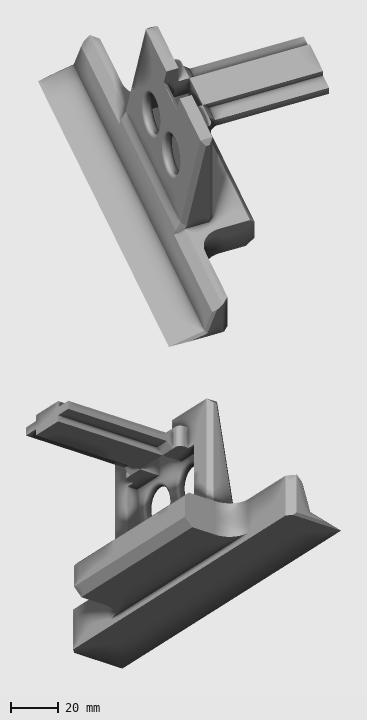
import cadquery as cq


bar_length = 160.0
bar_height = 18.9
bar_rear_y = -9.6
bar_end_chamfer = 1.1
bar_rear_chamfer = 3.4
bar_top_chamfer_y = -13.1
toe_tip_y = -36.8
toe_root_y = -20.8
toe_root_z = 4.0

plate_width = 70.0
plate_height = 70.5
plate_top_thickness = 5.5
plate_foot_z = 4.8
plate_chamfer = 2.0
shoulder_top_y = -14.4
shoulder_top_z = 21.3
shoulder_bottom_y = -16.6
shoulder_bottom_z = 16.8

block_width = 80.0
block_rear_y = 16.3
block_bottom_z = 3.0
block_top_chamfer = 2.0
block_bottom_chamfer = 3.8
block_fillet = 10.0

arm_end_y = 59.0
arm_width = 30.5
arm_height = 9.6
arm_bottom_z = 52.5
arm_top_z = arm_bottom_z + arm_height
core_width = 16.0
flange_thickness = 3.8
boss_width = 40.0
boss_depth = 5.0
boss_corner_radius = 2.5

notch_width = core_width
notch_floor_z = 63.7
channel_depth = 5.0

recess_width = 48.0
recess_bottom_z = 29.3
recess_top_z = arm_bottom_z
recess_bottom_depth = 8.0
recess_top_depth = channel_depth
hole_spacing = 24.0
hole_z = 40.6
hole_diameter = 17.1
hole_round = 1.5

clearance = 32.0


def box(width, y_range, z_range):
    """Box centred on X between two Y values and two Z values."""
    y_min, y_max = y_range
    z_min, z_max = z_range
    outline = [(y_min, z_min), (y_max, z_min), (y_max, z_max), (y_min, z_max)]
    return extrude_x(outline, width)


def extrude_x(points, width):
    """Extrude a (Y, Z) outline symmetrically along X."""
    return cq.Workplane("YZ").polyline(points).close().extrude(width / 2, both=True)


def edge_bevels(space, half_width, size):
    """Cutters bevelling both X ends: the (Y, Z) outline of the empty space widens by size towards each end."""
    bevel = cq.Workplane("YZ", origin=(half_width - size, 0, 0)).polyline(space).close().extrude(size, taper=-45)
    return bevel.union(bevel.mirror("YZ"))


def front_y(z):
    """Y of the steep front face of the bar at height z."""
    slope = (shoulder_bottom_y - toe_root_y) / (shoulder_bottom_z - toe_root_z)
    return toe_root_y + slope * (z - toe_root_z)


def make_bar():
    """Bar with a thin toe, bevelled ends and a 45 degree bevel along its top front edge."""
    far_y = toe_tip_y - clearance
    toe_slope = toe_root_z / (toe_root_y - toe_tip_y)

    outline = [
        (bar_rear_y, 0),
        (toe_tip_y, 0),
        (toe_root_y, toe_root_z),
        (front_y(bar_height), bar_height),
        (bar_rear_y, bar_height),
    ]
    bar = extrude_x(outline, bar_length)

    above_toe = [
        (front_y(clearance), clearance),
        (toe_root_y, toe_root_z),
        (far_y, toe_root_z - toe_slope * (toe_root_y - far_y)),
        (far_y, clearance),
    ]
    below_toe = [(clearance, 0), (clearance, -clearance), (far_y, -clearance), (far_y, 0)]
    for space in (above_toe, below_toe):
        bar = bar.cut(edge_bevels(space, bar_length / 2, bar_end_chamfer))

    drop = bar_height - toe_root_z
    top_bevel = [
        (bar_top_chamfer_y, bar_height),
        (bar_top_chamfer_y - drop, bar_height - drop),
        (bar_top_chamfer_y - drop, bar_height),
    ]
    bar = bar.cut(extrude_x(top_bevel, bar_length))
    return bar.edges("|Z and >Y").chamfer(bar_rear_chamfer)


def make_plate():
    """Upright plate whose front face leans forward, with every side edge bevelled."""
    foot_y = front_y(plate_foot_z)
    front = [
        (-plate_top_thickness, plate_height),
        (shoulder_top_y, shoulder_top_z),
        (shoulder_bottom_y, shoulder_bottom_z),
        (foot_y, plate_foot_z),
    ]
    plate = extrude_x([(0, plate_foot_z), (0, plate_height)] + front, plate_width)
    plate = plate.edges("(|Z and >Y) or (|Y and >Z)").chamfer(plate_chamfer)

    lean = (shoulder_top_y + plate_top_thickness) / (shoulder_top_z - plate_height)
    over_z = plate_height + clearance
    over_y = -plate_top_thickness + lean * clearance
    space = [(over_y, over_z)] + front[1:] + [(foot_y - clearance, plate_foot_z), (foot_y - clearance, over_z)]
    return plate.cut(edge_bevels(space, plate_width / 2, plate_chamfer))


def make_block():
    """Rear block, blended into the bar by a fillet on either side."""
    block = box(block_width, (bar_rear_y, block_rear_y), (block_bottom_z, bar_height))
    block = block.edges("|X and >Y and >Z").chamfer(block_top_chamfer)
    block = block.edges("|X and >Y and <Z").chamfer(block_bottom_chamfer)

    corner_x = block_width / 2
    centre_y = bar_rear_y + block_fillet
    fillet = (
        cq.Workplane("XY", origin=(0, 0, block_bottom_z))
        .moveTo(corner_x, bar_rear_y)
        .lineTo(corner_x, centre_y)
        .radiusArc((corner_x + block_fillet, bar_rear_y), -block_fillet)
        .close()
        .extrude(bar_height - block_bottom_z)
    )
    return block.union(fillet).union(fillet.mirror("YZ"))


def make_arm():
    """Cross-shaped arm: a full-height core with thinner flanges that flare out at the boss."""
    boss = box(boss_width, (0, boss_depth), (arm_bottom_z, arm_top_z))
    boss = boss.edges("|Z and >Y").fillet(boss_corner_radius)
    core = box(core_width, (0, arm_end_y), (arm_bottom_z, arm_top_z))

    middle_z = (arm_bottom_z + arm_top_z) / 2
    flare = (arm_height - flange_thickness) / 2
    upper = [
        (0, arm_top_z),
        (boss_depth, arm_top_z),
        (boss_depth + flare, middle_z + flange_thickness / 2),
        (arm_end_y, middle_z + flange_thickness / 2),
    ]
    lower = [(y, 2 * middle_z - z) for y, z in reversed(upper)]
    return boss.union(core).union(extrude_x(upper + lower, arm_width))


def make_notch():
    """Notch through the plate top, opening into a channel that drops to the recess."""
    through = box(notch_width, (-clearance, 0), (notch_floor_z, plate_height))
    lip = notch_floor_z - arm_top_z
    channel = [
        (channel_depth, arm_bottom_z),
        (channel_depth, plate_height),
        (-channel_depth - lip, plate_height),
        (-channel_depth - lip, notch_floor_z),
        (-channel_depth, arm_top_z),
        (-channel_depth, arm_bottom_z),
    ]
    return through.union(extrude_x(channel, notch_width))


def cut_recess(body):
    """Recess in the rear face, its floor leaning forward towards the bottom."""
    outline = [
        (0, recess_bottom_z),
        (0, recess_top_z),
        (-recess_top_depth, recess_top_z),
        (-recess_bottom_depth, recess_bottom_z),
    ]
    return body.cut(extrude_x(outline, recess_width))


def cut_holes(body):
    """Two holes from the recess through the front face, rounded on both rims."""
    centres = [(-hole_spacing / 2, hole_z), (hole_spacing / 2, hole_z)]
    holes = cq.Workplane("XZ").pushPoints(centres).circle(hole_diameter / 2).extrude(clearance)
    body = body.cut(holes)
    hole_area = cq.selectors.BoxSelector(
        (-recess_width / 2, -clearance, recess_bottom_z),
        (recess_width / 2, 0, recess_top_z),
    )
    return body.edges(hole_area).edges("%ELLIPSE").fillet(hole_round)


body = make_bar().union(make_plate()).union(make_block()).union(make_arm())
body = body.cut(make_notch())
result = cut_holes(cut_recess(body))